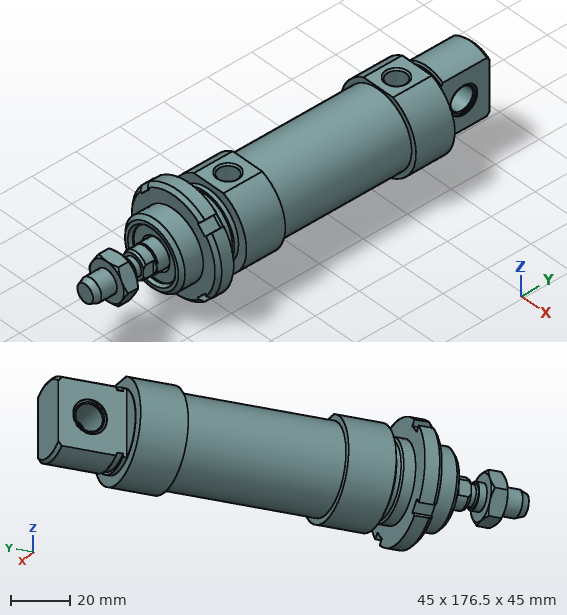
import cadquery as cq
import math

total_length = 176.5
envelope_size = 105.9

nose_front_y = 30.2
nose_chamfer = 1.6
nose_length = 21.9
groove_length = 2.1
thread_runout = 0.5
head_front_y = 56.1
head_length = 17.6
rear_head_rear_y = 150.9
eye_collar_length = 1.6
eye_flats_front_y = 151.0
eye_chamfer = 1.2

thread_diameter = 30.0
groove_diameter = 28.0
head_diameter = 38.0
barrel_diameter = 33.5
recess_diameter = 22.0
recess_depth = 2.0
recess_chamfer_width = 0.9
recess_chamfer_depth = 1.5
rod_bore_chamfer_diameter = 14.0

head_flat_z = 17.5
port_diameter = 8.6
port_mouth_diameter = 10.0
port_mouth_depth = 0.7
rear_port_y = 141.5
rear_port_depth = 8.0
drill_point_angle = 118.0

eye_width = 16.5
eye_hole_y = 164.7
eye_hole_diameter = 10.0
eye_hole_mouth_diameter = 11.0
eye_counterbore_diameter = 12.5
eye_counterbore_depth = 0.5

ring_front_y = 40.0
ring_thickness = 7.0
ring_diameter = 45.0
ring_chamfer = 1.6
ring_slot_count = 4
ring_slot_width = 5.0
ring_slot_floor = 20.0

rod_diameter = 12.0
rod_end_diameter = 11.6
rod_flats_width = 10.0
rod_thread_diameter = 10.0
rod_tip_diameter = 8.0
rod_tip_length = 2.8
neck_diameter = 8.0
neck_front_y = 18.9
thread_end_diameter = 8.6
thread_end_flare = 0.7
neck_rear_y = 21.9
rod_end_chamfer_width = 0.5
rod_end_chamfer_length = 1.0
rod_flats_rear_y = 26.5
rod_shoulder_y = 27.7
rod_shoulder_length = 0.5

hex_nut_front_y = 9.9
hex_nut_thickness = 6.2
hex_nut_across_flats = 17.0
hex_nut_chamfer_angle = 30.0
hex_sides = 6

nose_rear_y = nose_front_y + nose_length
groove_rear_y = nose_rear_y + groove_length
head_rear_y = head_front_y + head_length
rear_head_front_y = rear_head_rear_y - head_length
eye_collar_rear_y = rear_head_rear_y + eye_collar_length
eye_front_y = eye_collar_rear_y + groove_length
port_y = head_front_y + head_length / 2
recess_floor_y = nose_front_y + recess_depth
rod_rear_y = head_rear_y


def turned(points):
    """Revolve a closed (radius, y) outline about the Y axis."""
    return cq.Workplane("XY").polyline(points).close().revolve(360, (0, 0, 0), (0, 1, 0))


def shaft(diameter, front_y, rear_y):
    """Plain cylinder on the Y axis."""
    radius = diameter / 2
    return turned([(0, front_y), (radius, front_y), (radius, rear_y), (0, rear_y)])


def block(width, front_y, rear_y, height):
    """Box centred on the Y axis."""
    length = rear_y - front_y
    return cq.Workplane("XY").box(width, length, height).translate((0, front_y + length / 2, 0))


def housing_blank():
    """Nose, front head, barrel, rear head and round eye stock in one turning."""
    thread_radius = thread_diameter / 2
    groove_radius = groove_diameter / 2
    head_radius = head_diameter / 2
    barrel_radius = barrel_diameter / 2
    return turned([
        (0, nose_front_y),
        (thread_radius - nose_chamfer, nose_front_y),
        (thread_radius, nose_front_y + nose_chamfer),
        (thread_radius, nose_rear_y - thread_runout),
        (groove_radius, nose_rear_y),
        (groove_radius, groove_rear_y),
        (thread_radius, groove_rear_y),
        (thread_radius, head_front_y),
        (head_radius, head_front_y),
        (head_radius, head_rear_y),
        (barrel_radius, head_rear_y),
        (barrel_radius, rear_head_front_y),
        (head_radius, rear_head_front_y),
        (head_radius, rear_head_rear_y),
        (thread_radius, rear_head_rear_y),
        (thread_radius, eye_collar_rear_y),
        (groove_radius, eye_collar_rear_y),
        (groove_radius, eye_front_y),
        (thread_radius, eye_front_y + thread_runout),
        (thread_radius, total_length - eye_chamfer),
        (thread_radius - eye_chamfer, total_length),
        (0, total_length),
    ])


def rod_cavity():
    """Recess in the nose face, and the bore that holds the rod."""
    recess_radius = recess_diameter / 2
    rod_radius = rod_diameter / 2
    mouth_radius = rod_bore_chamfer_diameter / 2
    return turned([
        (0, nose_front_y),
        (recess_radius + recess_chamfer_width, nose_front_y),
        (recess_radius, nose_front_y + recess_chamfer_depth),
        (recess_radius, recess_floor_y),
        (mouth_radius, recess_floor_y),
        (rod_radius, recess_floor_y + mouth_radius - rod_radius),
        (rod_radius, rod_rear_y),
        (0, rod_rear_y),
    ])


def head_flat(front_y, rear_y):
    """Material above the flat on top of a head."""
    top_block = block(envelope_size, front_y, rear_y, envelope_size)
    return top_block.translate((0, 0, head_flat_z + envelope_size / 2))


def port(y, floor_z, point_depth):
    """Chamfered port going down from the head flat, with an optional drill point."""
    radius = port_diameter / 2
    outline = [
        (0, head_flat_z),
        (port_mouth_diameter / 2, head_flat_z),
        (radius, head_flat_z - port_mouth_depth),
        (radius, floor_z),
        (0, floor_z - point_depth),
    ]
    tool = cq.Workplane("XZ").polyline(outline).close().revolve(360, (0, 0, 0), (0, 1, 0))
    return tool.translate((0, y, 0))


def eye_hole():
    """Cross hole through the eye along X, counterbored and chamfered on both sides."""
    half_width = eye_width / 2
    floor_x = half_width - eye_counterbore_depth
    radius = eye_hole_diameter / 2
    mouth_radius = eye_hole_mouth_diameter / 2
    counterbore_radius = eye_counterbore_diameter / 2
    bore_end_x = floor_x - (mouth_radius - radius)
    outline = [
        (-half_width, 0),
        (-half_width, counterbore_radius),
        (-floor_x, counterbore_radius),
        (-floor_x, mouth_radius),
        (-bore_end_x, radius),
        (bore_end_x, radius),
        (floor_x, mouth_radius),
        (floor_x, counterbore_radius),
        (half_width, counterbore_radius),
        (half_width, 0),
    ]
    tool = cq.Workplane("XY").polyline(outline).close().revolve(360, (0, 0, 0), (1, 0, 0))
    return tool.translate((0, eye_hole_y, 0))


def make_housing():
    body = housing_blank().cut(rod_cavity())
    for front_y in (head_front_y, rear_head_front_y):
        body = body.cut(head_flat(front_y, front_y + head_length))

    point_depth = port_diameter / 2 / math.tan(math.radians(drill_point_angle / 2))
    body = body.cut(port(port_y, 0, 0))
    body = body.cut(port(rear_port_y, head_flat_z - rear_port_depth, point_depth))

    side_offset = (eye_width + envelope_size) / 2
    side_block = block(envelope_size, eye_flats_front_y, total_length, envelope_size)
    for side in (-1, 1):
        body = body.cut(side_block.translate((side * side_offset, 0, 0)))
    return body.cut(eye_hole())


def make_mounting_nut():
    """Slotted ring nut on the nose thread."""
    radius = ring_diameter / 2
    bore_radius = thread_diameter / 2
    rear_y = ring_front_y + ring_thickness
    ring = turned([
        (bore_radius, ring_front_y),
        (radius - ring_chamfer, ring_front_y),
        (radius, ring_front_y + ring_chamfer),
        (radius, rear_y),
        (bore_radius, rear_y),
    ])
    slot = block(ring_slot_width, ring_front_y, rear_y, envelope_size)
    slot = slot.translate((0, 0, ring_slot_floor + envelope_size / 2))
    pitch = 360 / ring_slot_count
    for index in range(ring_slot_count):
        ring = ring.cut(slot.rotate((0, 0, 0), (0, 1, 0), pitch * (index + 0.5)))
    return ring


def rod_flat(side):
    """Material beside a wrench flat; its rear end rises at 45 degrees."""
    inner_x = rod_flats_width / 2
    outer_x = rod_diameter / 2
    outline = [
        (side * inner_x, neck_rear_y),
        (side * outer_x, neck_rear_y),
        (side * outer_x, rod_flats_rear_y + outer_x - inner_x),
        (side * inner_x, rod_flats_rear_y),
    ]
    return cq.Workplane("XY").polyline(outline).close().extrude(rod_diameter / 2, both=True)


def make_piston_rod():
    """Rod with wrench flats, a relief neck and a chamfered thread."""
    thread_radius = rod_thread_diameter / 2
    neck_radius = neck_diameter / 2
    end_radius = rod_end_diameter / 2
    rod_radius = rod_diameter / 2
    rod = turned([
        (0, 0),
        (rod_tip_diameter / 2, 0),
        (thread_radius, rod_tip_length),
        (thread_radius, neck_front_y),
        (thread_end_diameter / 2, neck_front_y),
        (neck_radius, neck_front_y + thread_end_flare),
        (neck_radius, neck_rear_y),
        (end_radius - rod_end_chamfer_width, neck_rear_y),
        (end_radius, neck_rear_y + rod_end_chamfer_length),
        (end_radius, rod_shoulder_y - rod_shoulder_length),
        (rod_radius, rod_shoulder_y),
        (rod_radius, rod_rear_y),
        (0, rod_rear_y),
    ])
    for side in (-1, 1):
        rod = rod.cut(rod_flat(side))
    return rod


def make_rod_nut():
    """Hexagon nut on the rod thread, with its corners chamfered on both faces."""
    rear_y = hex_nut_front_y + hex_nut_thickness
    face_radius = hex_nut_across_flats / 2
    corner_radius = face_radius / math.cos(math.pi / hex_sides)
    chamfer = (corner_radius - face_radius) * math.tan(math.radians(hex_nut_chamfer_angle))
    hexagon = cq.Workplane("XZ").polygon(hex_sides, 2 * corner_radius).extrude(-hex_nut_thickness)
    hexagon = hexagon.translate((0, hex_nut_front_y, 0))
    chamfer_cone = turned([
        (0, hex_nut_front_y),
        (face_radius, hex_nut_front_y),
        (corner_radius, hex_nut_front_y + chamfer),
        (corner_radius, rear_y - chamfer),
        (face_radius, rear_y),
        (0, rear_y),
    ])
    bore = shaft(rod_thread_diameter, hex_nut_front_y, rear_y)
    return hexagon.intersect(chamfer_cone).cut(bore)


housing = make_housing()
mounting_nut = make_mounting_nut()
piston_rod = make_piston_rod()
rod_nut = make_rod_nut()

result = cq.Compound.makeCompound([
    housing.val(),
    mounting_nut.val(),
    piston_rod.val(),
    rod_nut.val(),
])